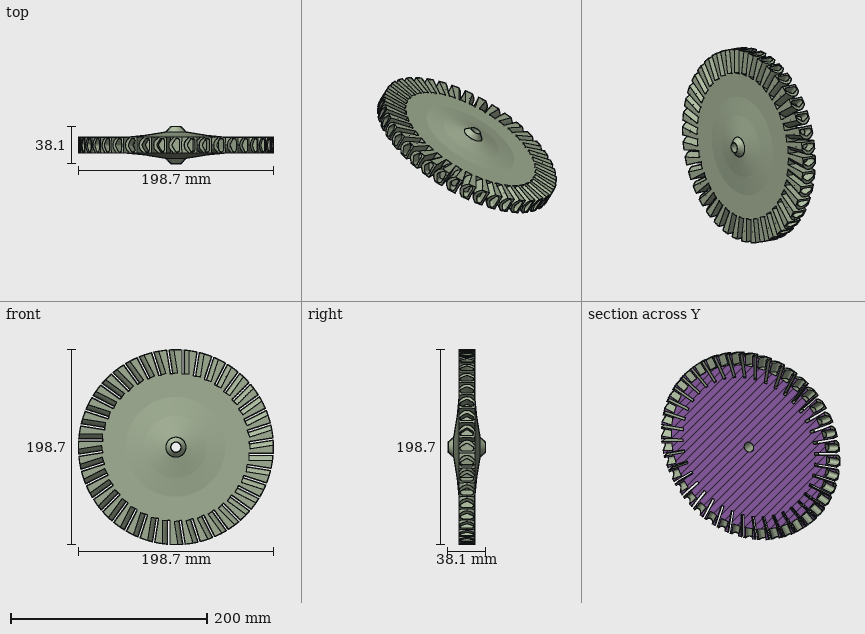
import cadquery as cq
import math

full_turn = 360

rim_radius = 99.365
rim_half_thickness = 8.1
web_outer_radius = 50.8
web_inner_radius = 31.75
web_inner_half_thickness = 10.0
hub_base_radius = 10.2
hub_base_half_thickness = 13.5
hub_tip_radius = 5.2
hub_length = 38.1
bore_radius = 5.08

blade_count = 40
slot_floor_height = 74.6
blade_face_offset = 6.26
blade_face_sag = 0.45
slot_mouth_width = 7.24
slot_throat_width = 2.15
crest_edge_angle = 45

pocket_floor_height = 88.2
pocket_half_width = 3.85
pocket_half_length = 6.9
pocket_corner_radius = 2.54

tool_clearance = 5.0
tool_height = rim_radius + tool_clearance


def make_wheel_body():
    """Disc with stepped conical webs, conical hub ends and a through bore."""
    half_outline = [
        (rim_radius, rim_half_thickness),
        (web_outer_radius, rim_half_thickness),
        (web_inner_radius, web_inner_half_thickness),
        (hub_base_radius, hub_base_half_thickness),
        (hub_tip_radius, hub_length / 2),
        (bore_radius, hub_length / 2),
    ]
    mirrored = [(radius, -y) for radius, y in reversed(half_outline)]
    outline = cq.Workplane("XY").polyline(half_outline + mirrored).close()
    return outline.revolve(full_turn, (0, 0, 0), (0, 1, 0))


def make_slot_tool():
    """Radial channel along +Z between one blade's hollow face and the next blade's crest."""
    mouth_x = blade_face_offset + slot_mouth_width
    crest_x = blade_face_offset + slot_throat_width
    face_middle = (blade_face_offset - blade_face_sag, 0)
    angle = math.radians(crest_edge_angle)
    edge_inward = (-math.sin(angle), math.cos(angle))
    edge_outward = (math.sin(angle), math.cos(angle))
    along_axis = (0, 1)

    return (
        cq.Workplane("XY", origin=(0, 0, slot_floor_height))
        .moveTo(blade_face_offset, -rim_half_thickness)
        .lineTo(mouth_x, -rim_half_thickness)
        .spline([(crest_x, 0)], tangents=[edge_inward, along_axis], includeCurrent=True)
        .spline(
            [(mouth_x, rim_half_thickness)],
            tangents=[along_axis, edge_outward],
            includeCurrent=True,
        )
        .lineTo(blade_face_offset, rim_half_thickness)
        .threePointArc(face_middle, (blade_face_offset, -rim_half_thickness))
        .close()
        .extrude(tool_height - slot_floor_height)
    )


def make_pocket_tool():
    """Radial pocket along +Z: a triangle of arc centres grown by the corner radius."""
    centre_x = pocket_half_width - pocket_corner_radius
    centre_y = pocket_half_length - pocket_corner_radius
    return (
        cq.Workplane("XY", origin=(0, 0, pocket_floor_height))
        .polyline([(centre_x, -centre_y), (centre_x, centre_y), (-centre_x, 0)])
        .close()
        .offset2D(pocket_corner_radius, "arc")
        .extrude(tool_height - pocket_floor_height)
    )


def cut_around_wheel(body, tool):
    """Cut one copy of the tool per blade, evenly spaced about the Y axis."""
    pitch_angle = full_turn / blade_count
    copies = [
        tool.rotate((0, 0, 0), (0, 1, 0), index * pitch_angle).val()
        for index in range(blade_count)
    ]
    return cq.Workplane("XY").newObject([body.val().cut(*copies)])


wheel = make_wheel_body()
wheel = cut_around_wheel(wheel, make_slot_tool())
result = cut_around_wheel(wheel, make_pocket_tool())